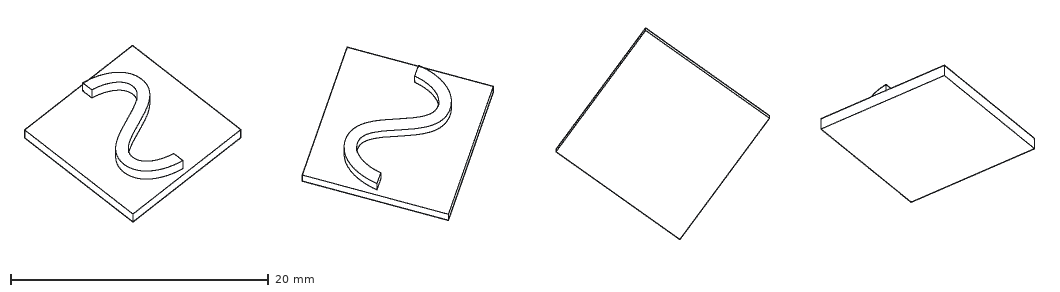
import math

import cadquery as cq

plate_side = 11.9
plate_thickness = 1.0

rib_width = 1.0
rib_height = 1.0

half_span = 5.0
crest_x = 2.5
crest_y = 3.0
end_angle = 80.0
end_pull = 1.2
crest_pull = 1.05


def make_plate():
    return cq.Workplane("XY").box(plate_side, plate_side, plate_thickness, centered=(True, True, False))


def make_centreline():
    """Smooth wave at mid-height of the rib: up from the left end, level at crest and trough."""
    points = [
        (-half_span, 0),
        (-crest_x, crest_y),
        (crest_x, -crest_y),
        (half_span, 0),
    ]
    end_tangent = (
        end_pull * math.cos(math.radians(end_angle)),
        end_pull * math.sin(math.radians(end_angle)),
    )
    crest_tangent = (crest_pull, 0)
    tangents = [end_tangent, crest_tangent, crest_tangent, end_tangent]
    mid_height = plate_thickness + rib_height / 2
    return cq.Workplane("XY", origin=(0, 0, mid_height)).spline(points, tangents=tangents, scale=False)


def make_rib():
    """Sweep a section lying in the XZ plane, so that both ends are cut along X."""
    centreline = make_centreline()
    section = cq.Workplane("XZ", origin=centreline.val().startPoint().toTuple()).rect(rib_width, rib_height)
    return section.sweep(centreline)


result = make_plate().union(make_rib())